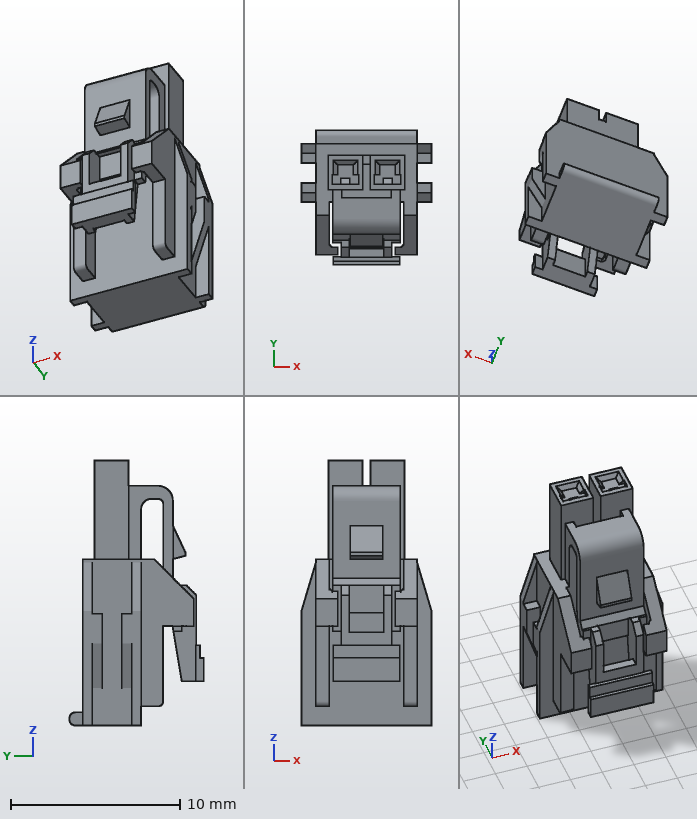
import cadquery as cq


housing_width = 6.0
housing_depth = 3.46
housing_height = 9.85
half_housing = housing_width / 2
housing_front_y = -housing_depth

bar_depth = 0.8
bar_height = 0.8
bar_radius = 0.38

overall_width = 7.7
half_overall = overall_width / 2
flange_thickness = 0.55
flange_shoulder_z = 6.8
flange_top_z = 9.65
pad_thickness = 0.6
pad_top_z = 6.63
pad_outer_bottom_z = 4.85
pad_inner_bottom_z = 2.23

cheek_thickness = 0.8
cheek_front_y = -4.76
cheek_bottom_z = 1.14
cheek_edge_radius = 0.3
cheek_inner_x = half_housing - cheek_thickness
ear_front_y = -6.58
ear_bottom_z = 5.89
ear_chamfer_start_y = -4.23
ear_chamfer = ear_chamfer_start_y - ear_front_y
hook_thickness = 0.46
hook_inner_x = 1.7
hook_rear_y = ear_front_y + hook_thickness
hook_chamfer = 0.16

tower_pitch = 2.48
tower_size = 2.03
tower_top_z = 15.7
tower_rear_y = -0.69
tower_front_y = tower_rear_y - tower_size
web_depth = 0.53

socket_depth = 0.25
funnel_top_width = 1.46
funnel_inset = 0.26
funnel_rear_y = -0.99
socket_step_y = -1.84
socket_front_y = -2.39
socket_front_width = 1.55
ramp_width = 0.51
ramp_depth = 0.35
ramp_center_x = 1.26

latch_width = 4.0
latch_top_z = 14.2
latch_bend_radius = 0.9
plate_rear_y = cheek_front_y
plate_front_y = -5.34
slot_top_z = 13.41
slot_rear_radius = 0.6
slot_front_radius = 0.3
root_notch_width = 2.94
root_notch_front_y = -3.19

shoulder_front_y = -5.85
shoulder_slope_front_y = -5.7
shoulder_slope_top_z = 8.71
shoulder_top_z = 8.32
shoulder_bottom_z = 5.59

catch_width = 1.94
catch_top_z = 11.83
catch_tip_y = -6.08
catch_tip_top_z = 10.25
catch_tip_bottom_z = 10.05
catch_bottom_z = 9.85

handle_width = 3.0
handle_front_y = -6.72
handle_bottom_z = 2.62
handle_chamfer = 0.6
handle_taper_top_z = 9.2
handle_taper_foot_y = -5.85
window_width = 2.04
window_bottom_z = 5.53
handle_wall_rear_y = -6.19
inner_plate_bottom_z = 6.68

grip_width = 3.94
grip_rear_y = -6.68
grip_step_y = -6.94
grip_front_y = -7.16
grip_top_z = 4.77
grip_step_z = 4.01


def box(x0, x1, y0, y1, z0, z1):
    """Block between opposite corners."""
    return cq.Workplane("XY").box(x1 - x0, y1 - y0, z1 - z0, centered=False).translate((x0, y0, z0))


def centered_box(width, y0, y1, z0, z1):
    """Block of the given width, symmetric about X = 0."""
    return box(-width / 2, width / 2, y0, y1, z0, z1)


def side_profile(points, width):
    """Extrude a closed (Y, Z) outline symmetrically about X = 0."""
    return cq.Workplane("YZ").polyline(points).close().extrude(width / 2, both=True)


def front_profile(points, y_rear, y_front):
    """Extrude a closed (X, Z) outline from y_rear forward to y_front."""
    sketch = cq.Workplane("XZ", origin=(0, y_rear, 0))
    return sketch.polyline(points).close().extrude(y_rear - y_front)


def both_sides(shape):
    """The shape together with its mirror image across X = 0."""
    return shape.union(shape.mirror("YZ"))


def make_housing():
    block = centered_box(housing_width, housing_front_y, 0, 0, housing_height)
    bar = centered_box(housing_width, housing_front_y, bar_depth, 0, bar_height)
    bar = bar.edges("|X and >Y").fillet(bar_radius)
    return block.union(bar)


def make_flanges():
    flange_outline = [
        (0, 0),
        (half_overall, 0),
        (half_overall, flange_shoulder_z),
        (half_housing, flange_top_z),
        (0, flange_top_z),
    ]
    pad_outline = [
        (half_housing, pad_inner_bottom_z),
        (half_overall, pad_outer_bottom_z),
        (half_overall, pad_top_z),
        (half_housing, pad_top_z),
    ]
    front_flange_rear_y = housing_front_y + flange_thickness
    rear_flange = front_profile(flange_outline, 0, -flange_thickness)
    rear_pad = front_profile(pad_outline, -flange_thickness, -flange_thickness - pad_thickness)
    front_flange = front_profile(flange_outline, front_flange_rear_y, housing_front_y)
    front_pad = front_profile(pad_outline, front_flange_rear_y + pad_thickness, front_flange_rear_y)
    return both_sides(rear_flange.union(rear_pad).union(front_flange).union(front_pad))


def make_cheeks():
    side_outline = [
        (housing_front_y, cheek_bottom_z),
        (cheek_front_y, cheek_bottom_z),
        (cheek_front_y, ear_bottom_z),
        (ear_front_y, ear_bottom_z),
        (ear_front_y, housing_height - ear_chamfer),
        (ear_chamfer_start_y, housing_height),
        (housing_front_y, housing_height),
    ]
    plan_outline = [
        (half_housing, housing_front_y),
        (half_housing, ear_front_y),
        (hook_inner_x, ear_front_y),
        (hook_inner_x, hook_rear_y),
        (cheek_inner_x - hook_chamfer, hook_rear_y),
        (cheek_inner_x, hook_rear_y + hook_chamfer),
        (cheek_inner_x, housing_front_y),
    ]
    side = side_profile(side_outline, housing_width)
    foot_edge = cq.selectors.NearestToPointSelector((0, cheek_front_y, cheek_bottom_z))
    side = side.edges(foot_edge).fillet(cheek_edge_radius)
    plan = cq.Workplane("XY").polyline(plan_outline).close().extrude(housing_height)
    return both_sides(side.intersect(plan))


def make_socket():
    """Cavity of the tower on the +X side."""
    center_x = tower_pitch / 2
    floor_z = tower_top_z - socket_depth
    half_top = funnel_top_width / 2
    half_floor = half_top - funnel_inset
    funnel = (
        cq.Workplane("XY", origin=(center_x, 0, floor_z))
        .polyline([
            (-half_floor, socket_step_y),
            (half_floor, socket_step_y),
            (half_floor, funnel_rear_y - funnel_inset),
            (-half_floor, funnel_rear_y - funnel_inset),
        ])
        .close()
        .workplane(offset=socket_depth)
        .polyline([
            (-half_top, socket_step_y),
            (half_top, socket_step_y),
            (half_top, funnel_rear_y),
            (-half_top, funnel_rear_y),
        ])
        .close()
        .loft(ruled=True)
    )
    half_front = socket_front_width / 2
    front_pocket = box(
        center_x - half_front, center_x + half_front, socket_front_y, socket_step_y, floor_z, tower_top_z
    )
    ramp = (
        cq.Workplane("YZ", origin=(ramp_center_x - ramp_width / 2, 0, 0))
        .polyline([
            (socket_front_y, floor_z),
            (socket_front_y + ramp_depth, floor_z),
            (socket_front_y, tower_top_z),
        ])
        .close()
        .extrude(ramp_width)
    )
    return funnel.union(front_pocket).cut(ramp)


def make_towers():
    inner_x = (tower_pitch - tower_size) / 2
    tower = box(inner_x, inner_x + tower_size, tower_front_y, tower_rear_y, 0, tower_top_z)
    tower = tower.cut(make_socket())
    web = centered_box(2 * inner_x, tower_rear_y - web_depth, tower_rear_y, housing_height, latch_top_z)
    return both_sides(tower).union(web)


def make_latch():
    bend = centered_box(latch_width, plate_front_y, tower_front_y, shoulder_bottom_z, latch_top_z)
    bend = bend.edges("|X and >Z and <Y").fillet(latch_bend_radius)

    slot = centered_box(latch_width, plate_rear_y, housing_front_y, 0, slot_top_z)
    slot = slot.edges("|X and >Z and >Y").fillet(slot_rear_radius)
    slot = slot.edges("|X and >Z and <Y").fillet(slot_front_radius)

    root_notch = centered_box(
        root_notch_width, root_notch_front_y, tower_front_y, housing_height, latch_top_z
    )
    shoulder = side_profile(
        [
            (plate_rear_y, shoulder_bottom_z),
            (shoulder_front_y, shoulder_bottom_z),
            (shoulder_front_y, shoulder_top_z),
            (shoulder_slope_front_y, shoulder_top_z),
            (plate_front_y, shoulder_slope_top_z),
            (plate_rear_y, shoulder_slope_top_z),
        ],
        latch_width,
    )
    catch = side_profile(
        [
            (plate_front_y, catch_bottom_z),
            (catch_tip_y, catch_tip_bottom_z),
            (catch_tip_y, catch_tip_top_z),
            (plate_front_y, catch_top_z),
        ],
        catch_width,
    )
    return bend.cut(slot).cut(root_notch).union(shoulder).union(catch)


def make_handle():
    arms = side_profile(
        [
            (plate_rear_y, handle_bottom_z),
            (handle_front_y, handle_bottom_z),
            (handle_front_y, shoulder_top_z - handle_chamfer),
            (handle_front_y + handle_chamfer, shoulder_top_z),
            (plate_rear_y, shoulder_top_z),
        ],
        handle_width,
    )
    grip = side_profile(
        [
            (grip_rear_y, handle_bottom_z),
            (grip_front_y, handle_bottom_z),
            (grip_front_y, grip_step_z),
            (grip_step_y, grip_step_z),
            (grip_step_y, grip_top_z),
            (grip_rear_y, grip_top_z),
        ],
        grip_width,
    )
    return arms.union(grip)


def make_latch_cuts():
    """Material removed from the joined latch and handle."""
    rear_taper = side_profile(
        [
            (plate_rear_y, handle_taper_top_z),
            (handle_taper_foot_y, handle_bottom_z),
            (plate_rear_y, handle_bottom_z),
        ],
        latch_width,
    )
    window = centered_box(window_width, handle_front_y, plate_front_y, window_bottom_z, shoulder_top_z)
    hollow = centered_box(
        window_width, handle_wall_rear_y, plate_rear_y, handle_bottom_z, inner_plate_bottom_z
    )
    return rear_taper.union(window).union(hollow)


latch = make_latch().union(make_handle()).cut(make_latch_cuts())
result = make_housing().union(make_flanges()).union(make_cheeks()).union(make_towers()).union(latch)